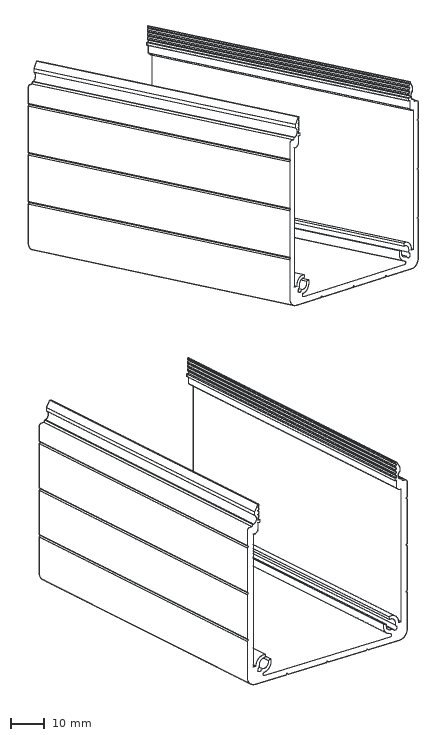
import cadquery as cq
import math

LENGTH = 100.0
WIDTH = 60.0
HEIGHT = 57.5
HALF_WIDTH = WIDTH / 2

SIDE_WALL = 2.3
FLOOR = 2.0
CORNER_RADIUS = 3.0

GROOVE_SPACING = 15.0
GROOVE_DEPTH = 0.4
SIDE_GROOVE_HEIGHTS = [GROOVE_SPACING * n for n in (1, 2, 3)]
BOTTOM_GROOVE_POSITIONS = [GROOVE_SPACING * n for n in (-1, 0, 1)]

SHOULDER_HEIGHT = 51.0
SHOULDER_RADIUS = 0.9
STEP_FOOT_DEPTH = 1.75
STEP_DEPTH = 2.05
STEP_HEIGHT = 51.65
NECK_START_DEPTH = 2.4
NECK_DEPTH = 3.4
NECK_HEIGHT = 53.05
HEAD_DEPTH = 2.7
HEAD_BOTTOM = 54.4
HEAD_TOP = 55.5
TIP_CHAMFER_DEPTH = 3.7
TIP_CHAMFER_HEIGHT = 57.15
TIP_DEPTH = 4.0
RIM_INNER_DEPTH = 4.05
RIM_LOWER_HEIGHT = 49.2
RIM_FOOT_DEPTH = 3.0
RIM_FOOT_HEIGHT = 48.4
LEDGE_DEPTH = 4.7
LEDGE_TOP = 52.5
LEDGE_BOTTOM = 51.7

TOOTH_COUNT = 4
TOOTH_PITCH = 1.2
TOOTH_PEAK_DEPTH = 4.4
TOOTH_FLAT = 0.4

CHANNEL_DEPTH = 6.2
CHANNEL_HEIGHT = 6.0
CHANNEL_INNER_RADIUS = 1.7
CHANNEL_DIAGONAL = 45.0
ARM_TIP_ANGLE = 30.0
BACK_ANGLE = 180.0
ARM_TIP_RADIUS = 2.7
ARM_BACK_RADIUS = 3.0
SLOT_WIDTH = 1.4
SLOT_REACH = 2.25
BLOCK_DEPTH = 6.4
BLOCK_HEIGHT = 5.8
RELIEF_RADIUS = 0.5


def wire_plane():
    """Cross-section plane: local x is world Y, local y is world Z, normal is +X."""
    return cq.Workplane("YZ")


def rim_inner_teeth():
    """Points down the serrated inner face, starting at the top of the rim."""
    points = []
    for tooth in range(TOOTH_COUNT):
        top = HEIGHT - tooth * TOOTH_PITCH
        slope = (TOOTH_PITCH - TOOTH_FLAT) / 2
        points.append((TOOTH_PEAK_DEPTH, top))
        points.append((TOOTH_PEAK_DEPTH, top - TOOTH_FLAT))
        points.append((RIM_INNER_DEPTH, top - TOOTH_FLAT - slope))
    return points


def side_wall():
    """Wall on the -Y side with its snap rim, extruded over the full length."""
    def at(depth, height):
        return (depth - HALF_WIDTH, height)

    bulge = SHOULDER_RADIUS * (1 - math.sqrt(0.5))
    profile = (
        wire_plane()
        .moveTo(*at(0, 0))
        .lineTo(*at(0, SHOULDER_HEIGHT - SHOULDER_RADIUS))
        .threePointArc(at(bulge, SHOULDER_HEIGHT - bulge), at(SHOULDER_RADIUS, SHOULDER_HEIGHT))
        .lineTo(*at(STEP_FOOT_DEPTH, SHOULDER_HEIGHT))
        .lineTo(*at(STEP_DEPTH, STEP_HEIGHT))
        .lineTo(*at(NECK_START_DEPTH, STEP_HEIGHT))
        .threePointArc(at(NECK_DEPTH, NECK_HEIGHT), at(HEAD_DEPTH, HEAD_BOTTOM))
        .lineTo(*at(HEAD_DEPTH, HEAD_TOP))
        .lineTo(*at(TIP_CHAMFER_DEPTH, TIP_CHAMFER_HEIGHT))
        .lineTo(*at(TIP_DEPTH, HEIGHT))
    )
    for depth, height in rim_inner_teeth():
        profile = profile.lineTo(*at(depth, height))
    profile = (
        profile
        .lineTo(*at(RIM_INNER_DEPTH, LEDGE_TOP))
        .lineTo(*at(LEDGE_DEPTH, LEDGE_TOP))
        .lineTo(*at(LEDGE_DEPTH, LEDGE_BOTTOM))
        .lineTo(*at(RIM_INNER_DEPTH, LEDGE_BOTTOM))
        .lineTo(*at(RIM_INNER_DEPTH, RIM_LOWER_HEIGHT))
        .lineTo(*at(RIM_FOOT_DEPTH, RIM_FOOT_HEIGHT))
        .lineTo(*at(SIDE_WALL, RIM_FOOT_HEIGHT))
        .lineTo(*at(SIDE_WALL, 0))
        .close()
    )
    return profile.extrude(LENGTH)


def half_floor():
    return cq.Workplane("XY").box(LENGTH, HALF_WIDTH, FLOOR, centered=False).translate((0, -HALF_WIDTH, 0))


def channel_arms():
    """C-shaped ring around the screw axis, open diagonally inward, thinner at the tips."""
    center_y = CHANNEL_DEPTH - HALF_WIDTH

    def polar(radius, from_diagonal):
        angle = math.radians(CHANNEL_DIAGONAL + from_diagonal)
        return (center_y + radius * math.cos(angle), CHANNEL_HEIGHT + radius * math.sin(angle))

    profile = (
        wire_plane()
        .moveTo(*polar(CHANNEL_INNER_RADIUS, ARM_TIP_ANGLE))
        .threePointArc(polar(CHANNEL_INNER_RADIUS, BACK_ANGLE), polar(CHANNEL_INNER_RADIUS, -ARM_TIP_ANGLE))
        .lineTo(*polar(ARM_TIP_RADIUS, -ARM_TIP_ANGLE))
        .threePointArc(polar(ARM_BACK_RADIUS, BACK_ANGLE), polar(ARM_TIP_RADIUS, ARM_TIP_ANGLE))
        .close()
    )
    return profile.extrude(LENGTH)


def corner_block():
    """Solid corner that carries the screw channel, with a rounded relief just above the floor."""
    block = cq.Workplane("XY").box(LENGTH, BLOCK_DEPTH, BLOCK_HEIGHT, centered=False)
    block = block.translate((0, -HALF_WIDTH, 0))
    relief_center = (BLOCK_DEPTH - HALF_WIDTH, FLOOR + RELIEF_RADIUS)
    return block.cut(wire_plane().center(*relief_center).circle(RELIEF_RADIUS).extrude(LENGTH))


def channel_bore():
    """Round bore of the screw channel and the round-ended slot behind it."""
    center = (CHANNEL_DEPTH - HALF_WIDTH, CHANNEL_HEIGHT)
    bore = wire_plane().center(*center).circle(CHANNEL_INNER_RADIUS).extrude(LENGTH)
    slot = (
        wire_plane().center(*center)
        .transformed(rotate=(0, 0, CHANNEL_DIAGONAL))
        .center(-SLOT_REACH / 2, 0)
        .slot2D(SLOT_REACH + SLOT_WIDTH, SLOT_WIDTH)
        .extrude(LENGTH)
    )
    return bore.union(slot)


def v_groove():
    """Square bar along X standing on a corner; half of it sinks in as a 90 degree V groove."""
    diamond = [(-GROOVE_DEPTH, 0), (0, GROOVE_DEPTH), (GROOVE_DEPTH, 0), (0, -GROOVE_DEPTH)]
    return wire_plane().polyline(diamond).close().extrude(LENGTH)


def cut_grooves(body):
    """Cut the V grooves into both side faces and the underside."""
    positions = [(side * HALF_WIDTH, height) for side in (-1, 1) for height in SIDE_GROOVE_HEIGHTS]
    positions += [(y, 0) for y in BOTTOM_GROOVE_POSITIONS]
    for y, z in positions:
        body = body.cut(v_groove().translate((0, y, z)))
    return body


def half_channel():
    """Half of the part at Y < 0, with the outer bottom corner rounded."""
    half = side_wall().union(half_floor()).union(corner_block())
    half = half.union(channel_arms()).cut(channel_bore())
    return half.edges("|X and <Y and <Z").fillet(CORNER_RADIUS)


half = half_channel()
result = cut_grooves(half.union(half.mirror("XZ")))